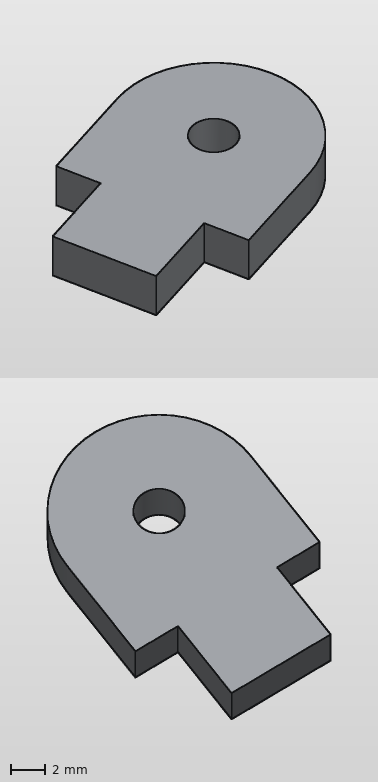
import cadquery as cq

total_length = 19.0
body_width = 13.0
thickness = 3.0
tab_width = 7.0
tab_length = 5.5
hole_diameter = 3.0

end_radius = body_width / 2
tab_half_width = tab_width / 2
tab_end_y = end_radius - total_length
shoulder_y = tab_end_y + tab_length

plate = (
    cq.Workplane("XY")
    .moveTo(-end_radius, 0)
    .threePointArc((0, end_radius), (end_radius, 0))
    .lineTo(end_radius, shoulder_y)
    .lineTo(tab_half_width, shoulder_y)
    .lineTo(tab_half_width, tab_end_y)
    .lineTo(-tab_half_width, tab_end_y)
    .lineTo(-tab_half_width, shoulder_y)
    .lineTo(-end_radius, shoulder_y)
    .close()
    .extrude(thickness)
)

hole = cq.Workplane("XY").circle(hole_diameter / 2).extrude(thickness)

result = plate.cut(hole)